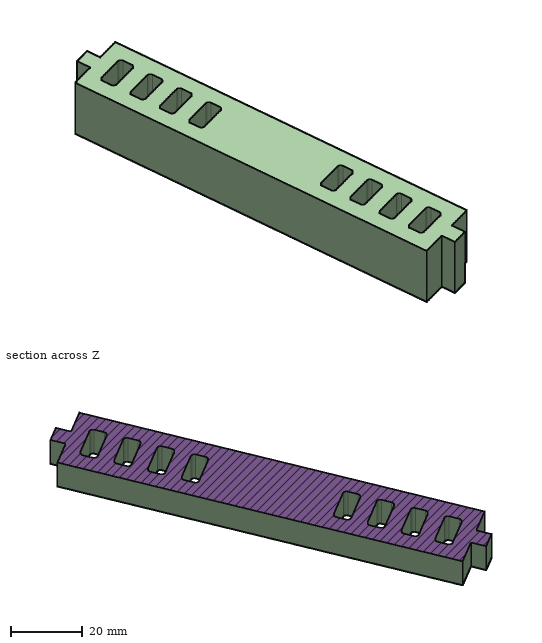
import cadquery as cq

body_length = 120.0
body_width = 20.0
body_height = 20.0

tongue_length = 4.5
tongue_width = 5.0
overall_length = body_length + 2 * tongue_length

window_length = 5.0
window_width = 10.0
window_corner_radius = 1.0
windows_per_row = 4
window_pitch = 2 * window_length
outer_window_margin = 5.0
outer_window_x = body_length / 2 - outer_window_margin - window_length / 2


def make_bar():
    """Rectangular bar crossed by a slimmer bar that forms both end tongues."""
    body = cq.Workplane("XY").box(body_length, body_width, body_height)
    tongues = cq.Workplane("XY").box(overall_length, tongue_width, body_height)
    return body.union(tongues)


def window_centres():
    """Window centres on the bar's centreline, stepping inwards from each end."""
    centres = []
    for index in range(windows_per_row):
        x = outer_window_x - index * window_pitch
        centres.append((x, 0))
        centres.append((-x, 0))
    return centres


def make_windows():
    """Cutters for all windows, with their vertical corners rounded."""
    return (
        cq.Workplane("XY")
        .workplane(offset=-body_height / 2)
        .pushPoints(window_centres())
        .rect(window_length, window_width)
        .extrude(body_height)
        .edges("|Z")
        .fillet(window_corner_radius)
    )


result = make_bar().cut(make_windows())